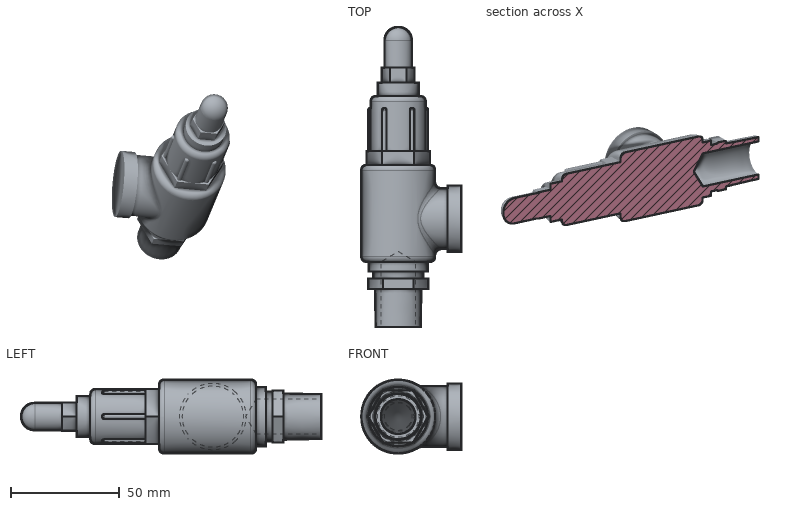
import cadquery as cq
import math


INLET_LENGTH = 17.5
INLET_HEX_END = 22.4
NECK_END = 25.5
COLLAR_END = 30.0
BODY_END = 74.6
BONNET_HEX_END = 80.9
BONNET_END = 106.2
GLAND_END = 112.4
LOCKNUT_END = 119.2
OVERALL_LENGTH = 138.0

INLET_END_DIAMETER = 20.8
INLET_ROOT_DIAMETER = 21.4
BORE_DIAMETER = 16.0
BORE_DEPTH = COLLAR_END
DRILL_POINT_ANGLE = 118.0

INLET_HEX_FLATS = 24.0
NECK_DIAMETER = 23.1
COLLAR_DIAMETER = 27.3
BODY_DIAMETER = 34.0
BODY_FILLET = 2.5
BONNET_HEX_FLATS = 25.4
BONNET_DIAMETER = 25.4
BONNET_FILLET = 2.5
GLAND_DIAMETER = 19.0
LOCKNUT_FLATS = 13.1
CAP_DIAMETER = 12.7

RIB_COUNT = 6
RIB_RADIUS = 1.1
RIB_END = 100.7

OUTLET_STATION = 49.9
OUTLET_REACH = 29.0
OUTLET_NECK_DIAMETER = 28.1
OUTLET_RIM_DIAMETER = 30.6
OUTLET_RIM_WIDTH = 6.3
OUTLET_FILLET = 2.5


def workplane_at(station):
    """Workplane across the main axis, with its normal along +Y."""
    return cq.Workplane(cq.Plane(origin=(0, station, 0), xDir=(1, 0, 0), normal=(0, 1, 0)))


def cylinder(start, end, diameter):
    return workplane_at(start).circle(diameter / 2).extrude(end - start)


def hexagon(start, end, flats):
    """Hexagonal prism with corners on the X axis."""
    corner_diameter = flats / math.cos(math.pi / 6)
    return workplane_at(start).polygon(6, corner_diameter).extrude(end - start)


def body_with_outlet():
    """Main body with the side outlet blended into it."""
    body = cylinder(COLLAR_END, BODY_END, BODY_DIAMETER).rotate((0, 0, 0), (0, 1, 0), 180)
    outlet_plane = cq.Workplane("YZ").center(OUTLET_STATION, 0)
    neck = outlet_plane.circle(OUTLET_NECK_DIAMETER / 2).extrude(OUTLET_REACH)
    joined = body.union(neck)
    joined = joined.edges("not(%LINE or %CIRCLE)").fillet(OUTLET_FILLET)
    joined = joined.faces("<Y or >Y").edges().fillet(BODY_FILLET)
    rim = (
        outlet_plane.workplane(offset=OUTLET_REACH - OUTLET_RIM_WIDTH)
        .circle(OUTLET_RIM_DIAMETER / 2)
        .extrude(OUTLET_RIM_WIDTH)
    )
    return joined.union(rim)


def inlet_fitting():
    end_radius = INLET_END_DIAMETER / 2
    root_radius = INLET_ROOT_DIAMETER / 2
    spigot = (
        cq.Workplane("XY")
        .polyline([(0, 0), (end_radius, 0), (root_radius, INLET_LENGTH), (0, INLET_LENGTH)])
        .close()
        .revolve(360, (0, 0, 0), (0, 1, 0))
    )
    return (
        spigot.union(hexagon(INLET_LENGTH, INLET_HEX_END, INLET_HEX_FLATS))
        .union(cylinder(INLET_HEX_END, NECK_END, NECK_DIAMETER))
        .union(cylinder(NECK_END, COLLAR_END, COLLAR_DIAMETER))
    )


def bonnet_rib(index):
    """Round rib on the bonnet surface, with a domed free end."""
    bar_end = RIB_END - RIB_RADIUS
    bar = (
        workplane_at(BONNET_HEX_END)
        .center(BONNET_DIAMETER / 2, 0)
        .circle(RIB_RADIUS)
        .extrude(bar_end - BONNET_HEX_END)
    )
    dome = cq.Workplane("XY").sphere(RIB_RADIUS).translate((BONNET_DIAMETER / 2, bar_end, 0))
    return bar.union(dome).rotate((0, 0, 0), (0, 1, 0), index * 360 / RIB_COUNT)


def bonnet():
    shell = cylinder(BONNET_HEX_END, BONNET_END, BONNET_DIAMETER)
    shell = shell.faces(">Y").edges().fillet(BONNET_FILLET)
    for index in range(RIB_COUNT):
        shell = shell.union(bonnet_rib(index))
    return shell.union(hexagon(BODY_END, BONNET_HEX_END, BONNET_HEX_FLATS))


def adjuster():
    """Gland, locknut and domed cap at the far end of the bonnet."""
    cap_radius = CAP_DIAMETER / 2
    dome_start = OVERALL_LENGTH - cap_radius
    dome = cq.Workplane("XY").sphere(cap_radius).translate((0, dome_start, 0))
    return (
        cylinder(BONNET_END, GLAND_END, GLAND_DIAMETER)
        .union(hexagon(GLAND_END, LOCKNUT_END, LOCKNUT_FLATS))
        .union(cylinder(LOCKNUT_END, dome_start, CAP_DIAMETER))
        .union(dome)
    )


def inlet_bore():
    """Blind drilled hole that ends in a conical drill point."""
    bore_radius = BORE_DIAMETER / 2
    point_length = bore_radius / math.tan(math.radians(DRILL_POINT_ANGLE / 2))
    return (
        cq.Workplane("XY")
        .polyline([(0, 0), (bore_radius, 0), (bore_radius, BORE_DEPTH), (0, BORE_DEPTH + point_length)])
        .close()
        .revolve(360, (0, 0, 0), (0, 1, 0))
    )


valve = body_with_outlet().union(inlet_fitting()).union(bonnet()).union(adjuster())
result = valve.cut(inlet_bore())